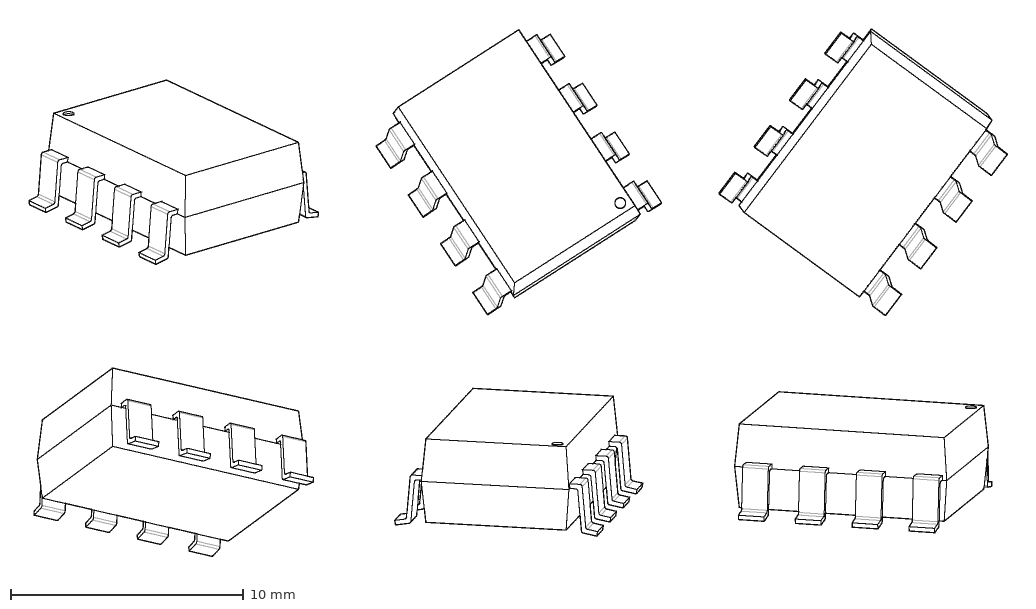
import cadquery as cq
import math

OVERALL_WIDTH = 8.96
OVERALL_HEIGHT = 3.9

BODY_LENGTH = 9.5
BODY_WIDTH = 6.52
HALF_HEIGHT = 1.85
DRAFT_ANGLE = 5.0

DIMPLE_X = -4.14
DIMPLE_Y = -2.62
DIMPLE_DIAMETER = 0.47
DIMPLE_DEPTH = 0.095

LEAD_COUNT = 4
LEAD_PITCH = 2.55
LEAD_ROW_OFFSET = -0.16
LEAD_WIDTH = 1.15
LEAD_THICKNESS = 0.21
SHOULDER_REACH = 3.79
FOOT_REACH = OVERALL_WIDTH / 2
FOOT_BOTTOM = OVERALL_HEIGHT - HALF_HEIGHT
LEG_LEAN = math.radians(5.0)
FOOT_TILT = math.radians(10.0)
BEND_RADIUS = 0.1

LEAD_CENTRES = [
    LEAD_ROW_OFFSET + LEAD_PITCH * (index - (LEAD_COUNT - 1) / 2)
    for index in range(LEAD_COUNT)
]


def make_half(height):
    """Drafted block from the parting plane to the given height (negative goes down)."""
    return (
        cq.Workplane("XY")
        .rect(BODY_LENGTH, BODY_WIDTH)
        .extrude(height, taper=DRAFT_ANGLE)
    )


def make_upper_half():
    """Upper package half with the dimple and one channel for each lead strip."""
    dimple = (
        cq.Workplane("XY", origin=(DIMPLE_X, DIMPLE_Y, HALF_HEIGHT))
        .circle(DIMPLE_DIAMETER / 2)
        .extrude(-DIMPLE_DEPTH)
    )
    channels = (
        cq.Workplane("XY")
        .pushPoints([(x, 0) for x in LEAD_CENTRES])
        .rect(LEAD_WIDTH, BODY_WIDTH)
        .extrude(LEAD_THICKNESS)
    )
    return make_half(HALF_HEIGHT).cut(dimple).cut(channels)


def inner_corner(corner, angle_before, angle_after):
    """Corner of the strip's underside opposite a bend in its top side.

    The angles are the downward slopes of the strip before and after the bend.
    """
    half_turn = (angle_after - angle_before) / 2
    middle_angle = (angle_before + angle_after) / 2
    mitre = LEAD_THICKNESS / math.cos(half_turn)
    y, z = corner
    return (y - mitre * math.sin(middle_angle), z - mitre * math.cos(middle_angle))


def make_lead(centre_x):
    """One bent strip: flat across the package, with a leaning leg and tilted foot at each end."""
    leg_slope = math.pi / 2 - LEG_LEAN
    tip_bottom = (FOOT_REACH - LEAD_THICKNESS * math.sin(FOOT_TILT), -FOOT_BOTTOM)
    tip_top = (FOOT_REACH, LEAD_THICKNESS * math.cos(FOOT_TILT) - FOOT_BOTTOM)

    shoulder = (SHOULDER_REACH, LEAD_THICKNESS)
    tip_run = tip_top[0] - shoulder[0]
    tip_drop = shoulder[1] - tip_top[1]
    foot_fall = math.tan(FOOT_TILT)
    leg_fall = math.tan(leg_slope)
    ankle_run = (tip_drop - tip_run * foot_fall) / (leg_fall - foot_fall)
    ankle = (shoulder[0] + ankle_run, shoulder[1] - ankle_run * leg_fall)

    armpit = inner_corner(shoulder, 0, leg_slope)
    heel = inner_corner(ankle, leg_slope, FOOT_TILT)

    right_side = [shoulder, ankle, tip_top, tip_bottom, heel, armpit]
    left_side = [(-y, z) for y, z in reversed(right_side)]
    lead = (
        cq.Workplane("YZ", origin=(centre_x, 0, 0))
        .polyline(right_side + left_side)
        .close()
        .extrude(LEAD_WIDTH / 2, both=True)
    )

    for y, z in (shoulder, armpit, ankle, heel):
        for side in (1, -1):
            corner_edge = cq.selectors.NearestToPointSelector((centre_x, side * y, z))
            lead = lead.edges("|X").edges(corner_edge).fillet(BEND_RADIUS)
    return lead


upper_half = make_upper_half()
lower_half = make_half(-HALF_HEIGHT)
leads = [make_lead(x) for x in LEAD_CENTRES]

result = cq.Compound.makeCompound(
    [upper_half.val(), lower_half.val(), *[lead.val() for lead in leads]]
)